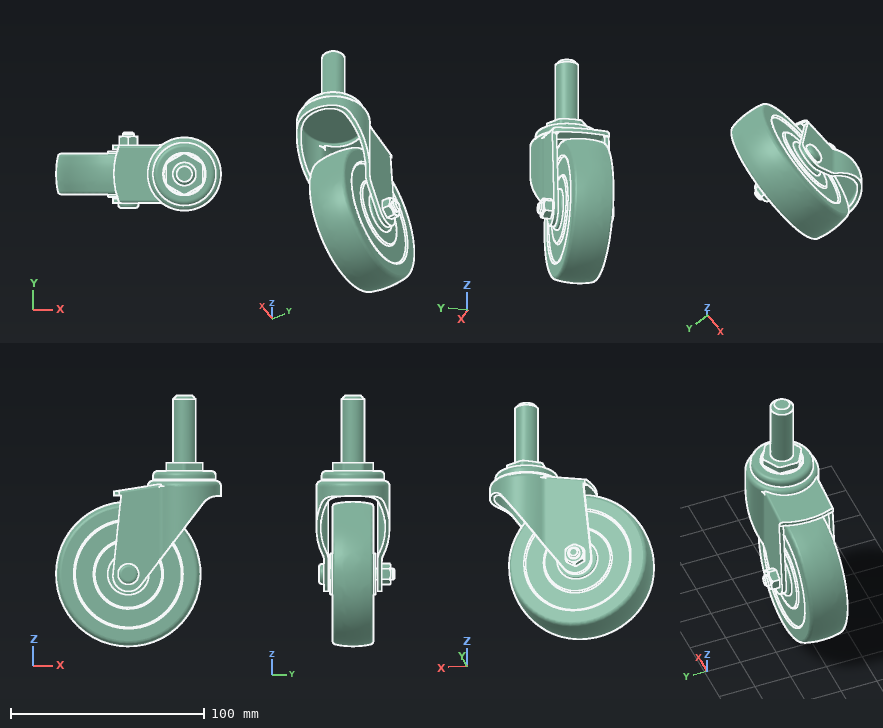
import cadquery as cq
import math


wheel_radius = 37.5
wheel_half_width = 10.65
crown_radius = 43.0
tread_edge_fillet = 2.0
recess_outer_radius = 28.3
recess_inner_radius = 17.3
recess_depth = 0.8
hub_radius = 10.7
hub_half_width = 11.9
hub_fillet = 0.7

axle_radius = 3.0
head_radius = 5.35
head_height = 2.7
head_fillet = 2.0
nut_across_flats = 9.5
nut_height = 4.6
nut_rim_chamfer = 0.7
thread_end_y = 21.6
thread_chamfer = 0.9

sheet = 2.3
fork_half_width = 15.0
stem_x = 29.0
crown_disc_radius = 19.0
crown_disc_fillet = 3.0
fork_top_z = 48.4
skirt_bottom_z = 40.3
skirt_cut_x = 41.6
skirt_cut_fillet = 9.0
gusset_radius = 4.2
roof_angle = 9.0
roof_front_z = 42.8
roof_front_x = -7.5
roof_end_x = 17.3
roof_edge_fillet = 1.6
roof_front_curve_radius = 42.0
roof_lip_z = 40.6
leg_tip_radius = 8.0
leg_tip_z = -1.0
leg_front_top_x = -3.8
reach = 60.0

cap_radius = 16.3
cap_fillet = 2.5
cap_bottom_z = 49.0
cap_top_z = 53.4
cap_neck_radius = 14.85
cap_bore_radius = 11.1

stem_radius = 6.0
stem_chamfer = 2.0
stem_top_z = 92.42
hex_across_flats = 19.0
hex_corner_fillet = 2.4
hex_top_z = 57.6
collar_radius = 10.6


def corner_circle(across_flats):
    """Diameter of the circle through the corners of a hexagon."""
    return across_flats / math.cos(math.radians(30))


def roof_z(x):
    """Height of the sloping roof's upper face at x."""
    return roof_front_z + (x - roof_front_x) * math.tan(math.radians(roof_angle))


def cylinder_y(radius, y_start, y_end):
    """Cylinder on the wheel axis."""
    return cq.Workplane("XZ", origin=(0, y_start, 0)).circle(radius).extrude(y_start - y_end)


def cylinder_z(radius, z_start, z_end):
    """Cylinder on the stem axis."""
    return cq.Workplane("XY", origin=(stem_x, 0, z_start)).circle(radius).extrude(z_end - z_start)


def make_wheel():
    """Crowned wheel with an annular recess and a raised hub on each side."""
    edge_radius = wheel_radius - crown_radius + math.sqrt(crown_radius**2 - wheel_half_width**2)
    tire = (
        cq.Workplane("XY")
        .moveTo(0, -wheel_half_width)
        .lineTo(edge_radius, -wheel_half_width)
        .threePointArc((wheel_radius, 0), (edge_radius, wheel_half_width))
        .lineTo(0, wheel_half_width)
        .close()
        .revolve(360, (0, 0, 0), (0, 1, 0))
        .faces("<Y or >Y")
        .edges()
        .fillet(tread_edge_fillet)
    )
    for side in (-1, 1):
        face_y = side * wheel_half_width
        floor_y = face_y - side * recess_depth
        recess = (
            cq.Workplane("XY")
            .polyline([
                (recess_inner_radius, face_y),
                (recess_inner_radius + recess_depth, floor_y),
                (recess_outer_radius - recess_depth, floor_y),
                (recess_outer_radius, face_y),
            ])
            .close()
            .revolve(360, (0, 0, 0), (0, 1, 0))
        )
        tire = tire.cut(recess)
    hub = cylinder_y(hub_radius, -hub_half_width, hub_half_width).edges().fillet(hub_fillet)
    bore = cylinder_y(axle_radius, -hub_half_width, hub_half_width)
    return tire.union(hub).cut(bore)


def make_axle():
    """Bolt through both fork legs, with its nut on the +Y side."""
    shank = cylinder_y(axle_radius, -fork_half_width, thread_end_y).faces(">Y").chamfer(thread_chamfer)
    head = cylinder_y(head_radius, -fork_half_width - head_height, -fork_half_width)
    head = head.faces("<Y").edges().fillet(head_fillet)
    nut_corner_radius = corner_circle(nut_across_flats) / 2
    nut = (
        cq.Workplane("XZ", origin=(0, fork_half_width, 0))
        .polygon(6, 2 * nut_corner_radius)
        .extrude(-nut_height)
        .rotate((0, 0, 0), (0, 1, 0), 90)
    )
    nut_blank = cylinder_y(nut_corner_radius, fork_half_width, fork_half_width + nut_height)
    nut = nut.intersect(nut_blank.faces(">Y").chamfer(nut_rim_chamfer))
    return shank.union(head).union(nut)


def leg_block(inset):
    """Straight part of the fork under the sloping roof, shrunk by the inset on its outside faces."""
    half_width = fork_half_width - inset
    drop = inset / math.cos(math.radians(roof_angle))
    return (
        cq.Workplane("XZ", origin=(0, half_width, 0))
        .polyline([
            (-reach, -reach),
            (roof_end_x, -reach),
            (roof_end_x, roof_z(roof_end_x) - drop),
            (-reach, roof_z(-reach) - drop),
        ])
        .close()
        .extrude(2 * half_width)
        .faces(">Z")
        .edges("not(|Y)")
        .fillet(roof_edge_fillet)
    )


def skirt_block(inset):
    """Round skirt below the crown disc, blended into the legs by hollow gussets."""
    half_width = fork_half_width - inset
    radius = crown_disc_radius - inset
    blend = gusset_radius + inset
    blend_x = -math.sqrt((radius + blend) ** 2 - (half_width + blend) ** 2)
    blend_y = half_width + blend
    shrink = radius / (radius + blend)
    round_end = (blend_x * shrink, blend_y * shrink)
    mid_angle = (math.atan2(-blend_y, -blend_x) - math.pi / 2) / 2
    blend_mid = (blend_x + blend * math.cos(mid_angle), blend_y + blend * math.sin(mid_angle))

    def mirrored(point):
        return (point[0], -point[1])

    top_z = fork_top_z - crown_disc_fillet - inset
    return (
        cq.Workplane("XY", origin=(stem_x, 0, -reach))
        .moveTo(blend_x, -half_width)
        .lineTo(blend_x, half_width)
        .threePointArc(blend_mid, round_end)
        .threePointArc((radius, 0), mirrored(round_end))
        .threePointArc(mirrored(blend_mid), (blend_x, -half_width))
        .close()
        .extrude(top_z + reach)
    )


def crown_disc(inset):
    """Round top of the fork."""
    disc = cylinder_z(crown_disc_radius - inset, -reach, fork_top_z - inset)
    return disc.faces(">Z").edges().fillet(crown_disc_fillet - inset)


def fork_block(inset):
    """Solid fork shape, or its hollow when inset by the sheet thickness."""
    return leg_block(inset).union(skirt_block(inset)).union(crown_disc(inset))


def tangent_point(x, z, side):
    """Point where a line from (x, z) touches the leg tip circle, on the given side."""
    rise = z - leg_tip_z
    distance = math.hypot(x, rise)
    angle = math.atan2(rise, x) + side * math.acos(leg_tip_radius / distance)
    return (leg_tip_radius * math.cos(angle), leg_tip_z + leg_tip_radius * math.sin(angle))


def fork_side_profile():
    """Side outline that trims the legs and skirt, as a prism across the whole width."""
    front = tangent_point(leg_front_top_x, roof_lip_z, 1)
    back = tangent_point(skirt_cut_x, skirt_bottom_z, -1)
    return (
        cq.Workplane("XZ", origin=(0, reach, 0))
        .moveTo(-reach, roof_lip_z)
        .lineTo(leg_front_top_x, roof_lip_z)
        .lineTo(*front)
        .threePointArc((0, leg_tip_z - leg_tip_radius), back)
        .lineTo(skirt_cut_x, skirt_bottom_z)
        .lineTo(reach, skirt_bottom_z)
        .lineTo(reach, reach)
        .lineTo(-reach, reach)
        .close()
        .extrude(2 * reach)
        .edges(cq.selectors.NearestToPointSelector((skirt_cut_x, 0, skirt_bottom_z)))
        .fillet(skirt_cut_fillet)
    )


def roof_front_trim():
    """Material to remove in front of the roof so that its front edge bows forward."""
    front_blank = cq.Workplane("XY", origin=(-reach / 2, 0, roof_lip_z)).rect(reach, reach).extrude(reach)
    bow = (
        cq.Workplane("XY", origin=(roof_front_x + roof_front_curve_radius, 0, roof_lip_z))
        .circle(roof_front_curve_radius)
        .extrude(reach)
    )
    return front_blank.cut(bow)


def make_fork():
    """Sheet fork: roof, two legs, round skirt and crown disc."""
    fork = fork_block(0).cut(fork_block(sheet)).intersect(fork_side_profile())
    axle_hole = cylinder_y(axle_radius, -fork_half_width, fork_half_width)
    return fork.cut(roof_front_trim()).cut(axle_hole)


def make_cap():
    """Bearing cap on a narrower neck, bored for the stem collar."""
    cap = cylinder_z(cap_radius, cap_bottom_z, cap_top_z).faces(">Z").edges().fillet(cap_fillet)
    neck = cylinder_z(cap_neck_radius, fork_top_z, cap_bottom_z)
    return cap.union(neck).cut(cylinder_z(cap_bore_radius, fork_top_z, cap_top_z))


def make_stem():
    """Stem with a hexagon and a round collar that stands on the fork."""
    collar = cylinder_z(collar_radius, fork_top_z, cap_top_z)
    hex_part = (
        cq.Workplane("XY", origin=(stem_x, 0, cap_top_z))
        .transformed(rotate=(0, 0, 90))
        .polygon(6, corner_circle(hex_across_flats))
        .extrude(hex_top_z - cap_top_z)
        .edges("|Z")
        .fillet(hex_corner_fillet)
    )
    rod = cylinder_z(stem_radius, hex_top_z, stem_top_z).faces(">Z").chamfer(stem_chamfer)
    return collar.union(hex_part).union(rod)


wheel = make_wheel()
axle = make_axle()
fork = make_fork()
cap = make_cap()
stem = make_stem()

result = cq.Compound.makeCompound([wheel.val(), axle.val(), fork.val(), cap.val(), stem.val()])